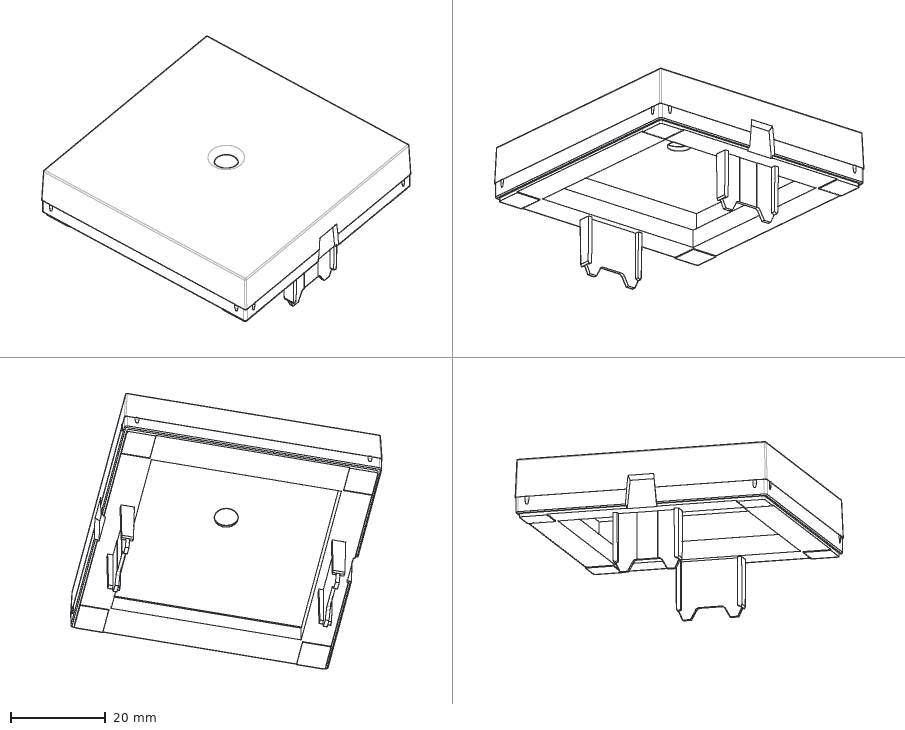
import cadquery as cq
import math

TOTAL_HEIGHT = 24.95
COVER_TOP = 12.5
SKIRT_TOP = COVER_TOP - 8.3
SKIRT_BOTTOM = COVER_TOP - 11.75
BASE_BOTTOM = 0.2
LEG_BOTTOM = COVER_TOP - TOTAL_HEIGHT

OVERALL_SIZE = 55.9
TOP_SIZE = 55.0
RIM_SIZE = 55.6
SKIRT_SIZE = 55.5
UPPER_EDGE_RADIUS = 0.3
SKIRT_CORNER_RADIUS = 0.6
SKIRT_CHAMFER = 0.25
TOP_THICKNESS = 1.5
CAVITY_SIZE = 51.0

HOLE_DIAMETER = 5.0
HOLE_EDGE_RADIUS = 1.35

BASE_SIZE = 54.2
BASE_OPENING = 41.0
BASE_CORNER_RADIUS = 0.5
FOOT_SIZE = 6.2

BUMP_RADIUS = 0.55
BUMP_TIP_RADIUS = 0.4
BUMP_OFFSET = 25.15
BUMP_STRAIGHT_HEIGHT = 0.8
BUMP_TAPER_HEIGHT = 0.85

NOTCH_TOP = COVER_TOP - 5.2
NOTCH_DEPTH = 1.05
NOTCH_TOP_HALF_WIDTH = 2.85
NOTCH_BOTTOM_HALF_WIDTH = 3.5
NOTCH_SIDE_TAPER = 0.2
NOTCH_ROOF_DROP = 1.0

WEB_X = 22.68
WEB_THICKNESS = 0.8
LEG_HALF_WIDTH = 7.25
FLANGE_THICKNESS = 0.95
FLANGE_TOP_OUTER = 24.25
FLANGE_TOP_INNER = 21.35
FLANGE_DRAFT = 0.2
FLANGE_OUTER_END = COVER_TOP - 22.55
FLANGE_TIP = COVER_TOP - 23.05
FLANGE_INNER_END = COVER_TOP - 22.75
FLANGE_TIP_INSET = 0.22
PRONG_OUTER = 6.1
PRONG_INNER = 4.35
PRONG_GAP_HALF_WIDTH = 2.95
PRONG_GAP_ROOF = COVER_TOP - 22.5
PRONG_ROOT_RADIUS = 0.8
PANEL_HALF_WIDTH = 2.3
PANEL_RECESS = 0.1


def square_block(size, bottom, top):
    """Square block centred on the Z axis."""
    return cq.Workplane("XY").workplane(offset=bottom).rect(size, size).extrude(top - bottom)


def make_cover():
    upper = (
        cq.Workplane("XY").workplane(offset=SKIRT_TOP).rect(RIM_SIZE, RIM_SIZE)
        .workplane(offset=COVER_TOP - SKIRT_TOP).rect(TOP_SIZE, TOP_SIZE)
        .loft(ruled=True)
        .edges("not(<Z)").fillet(UPPER_EDGE_RADIUS)
    )
    skirt = square_block(SKIRT_SIZE, SKIRT_BOTTOM, SKIRT_TOP)
    skirt = skirt.edges("|Z").fillet(SKIRT_CORNER_RADIUS)
    skirt = skirt.faces("<Z").edges().chamfer(SKIRT_CHAMFER)
    cavity = square_block(CAVITY_SIZE, SKIRT_BOTTOM, COVER_TOP - TOP_THICKNESS)
    return upper.union(skirt).cut(cavity)


def make_hole_cutter():
    """Through hole whose upper edge is rounded over by a quarter circle."""
    radius = HOLE_DIAMETER / 2
    mouth = radius + HOLE_EDGE_RADIUS
    arc_inset = HOLE_EDGE_RADIUS * (1 - math.sqrt(0.5))
    return (
        cq.Workplane("XZ")
        .moveTo(0, COVER_TOP - TOP_THICKNESS)
        .lineTo(radius, COVER_TOP - TOP_THICKNESS)
        .lineTo(radius, COVER_TOP - HOLE_EDGE_RADIUS)
        .threePointArc((radius + arc_inset, COVER_TOP - arc_inset), (mouth, COVER_TOP))
        .lineTo(0, COVER_TOP)
        .close()
        .revolve(360, (0, 0, 0), (0, 1, 0))
    )


def make_base():
    """Ring closing the underside of the walls, with a foot at each corner."""
    ring = square_block(BASE_SIZE, BASE_BOTTOM, SKIRT_TOP)
    foot_center = (BASE_SIZE - FOOT_SIZE) / 2
    feet = (
        cq.Workplane("XY")
        .rect(2 * foot_center, 2 * foot_center, forConstruction=True).vertices()
        .rect(FOOT_SIZE, FOOT_SIZE).extrude(SKIRT_TOP)
    )
    outline = square_block(BASE_SIZE, 0, SKIRT_TOP).edges("|Z").fillet(BASE_CORNER_RADIUS)
    opening = square_block(BASE_OPENING, 0, SKIRT_TOP)
    return ring.union(feet).intersect(outline).cut(opening)


def make_bump():
    """Upright pin with a tapered lower end, on the -Y side of the skirt."""
    straight_bottom = SKIRT_TOP - BUMP_STRAIGHT_HEIGHT
    return (
        cq.Workplane("XZ")
        .polyline([
            (0, SKIRT_TOP),
            (BUMP_RADIUS, SKIRT_TOP),
            (BUMP_RADIUS, straight_bottom),
            (BUMP_TIP_RADIUS, straight_bottom - BUMP_TAPER_HEIGHT),
            (0, straight_bottom - BUMP_TAPER_HEIGHT),
        ])
        .close()
        .revolve(360, (0, 0, 0), (0, 1, 0))
        .translate((0, BUMP_RADIUS - OVERALL_SIZE / 2, 0))
    )


def make_notch_cutter():
    """Trapezoidal recess in the -X wall, its roof and sides closing inwards."""
    def outline(inset, roof):
        top_half = NOTCH_TOP_HALF_WIDTH - inset
        bottom_half = NOTCH_BOTTOM_HALF_WIDTH - inset
        return [(-bottom_half, 0), (-top_half, roof), (top_half, roof), (bottom_half, 0)]

    return (
        cq.Workplane("YZ").workplane(offset=-RIM_SIZE / 2)
        .polyline(outline(0, NOTCH_TOP)).close()
        .workplane(offset=NOTCH_DEPTH)
        .polyline(outline(NOTCH_SIDE_TAPER, NOTCH_TOP - NOTCH_ROOF_DROP)).close()
        .loft(ruled=True)
    )


def make_web():
    """Plate of the -X leg, ending in two prongs."""
    half_outline = [
        (LEG_HALF_WIDTH, FLANGE_OUTER_END),
        (PRONG_OUTER, LEG_BOTTOM),
        (PRONG_INNER, LEG_BOTTOM),
        (PRONG_GAP_HALF_WIDTH, PRONG_GAP_ROOF),
    ]
    mirrored = [(-y, z) for y, z in reversed(half_outline)]
    outline = (
        [(LEG_HALF_WIDTH, BASE_BOTTOM)] + half_outline + mirrored + [(-LEG_HALF_WIDTH, BASE_BOTTOM)]
    )
    web = (
        cq.Workplane("YZ").workplane(offset=-WEB_X - WEB_THICKNESS / 2)
        .polyline(outline).close().extrude(WEB_THICKNESS)
    )
    reach_y = PRONG_GAP_HALF_WIDTH + PRONG_ROOT_RADIUS
    gap_corners = cq.selectors.BoxSelector(
        (-WEB_X - WEB_THICKNESS, -reach_y, PRONG_GAP_ROOF - PRONG_ROOT_RADIUS),
        (-WEB_X + WEB_THICKNESS, reach_y, PRONG_GAP_ROOF + PRONG_ROOT_RADIUS),
    )
    web = web.edges("|X").edges(gap_corners).fillet(PRONG_ROOT_RADIUS)
    panel = (
        cq.Workplane("XY")
        .box(PANEL_RECESS, 2 * PANEL_HALF_WIDTH, BASE_BOTTOM - LEG_BOTTOM, centered=(False, True, False))
        .translate((-WEB_X - WEB_THICKNESS / 2, 0, LEG_BOTTOM))
    )
    return web.cut(panel)


def make_flange():
    """Drafted flange at the +Y end of the -X leg, with a pointed lower end."""
    drafted = (
        cq.Workplane("XZ").workplane(offset=-LEG_HALF_WIDTH)
        .polyline([
            (-FLANGE_TOP_OUTER, BASE_BOTTOM),
            (-FLANGE_TOP_INNER, BASE_BOTTOM),
            (-FLANGE_TOP_INNER - FLANGE_DRAFT, FLANGE_TIP),
            (-FLANGE_TOP_OUTER + FLANGE_DRAFT, FLANGE_TIP),
        ])
        .close().extrude(FLANGE_THICKNESS)
    )
    pointed = (
        cq.Workplane("YZ").workplane(offset=-FLANGE_TOP_OUTER)
        .polyline([
            (LEG_HALF_WIDTH, BASE_BOTTOM),
            (LEG_HALF_WIDTH, FLANGE_OUTER_END),
            (LEG_HALF_WIDTH - FLANGE_TIP_INSET, FLANGE_TIP),
            (LEG_HALF_WIDTH - FLANGE_THICKNESS, FLANGE_INNER_END),
            (LEG_HALF_WIDTH - FLANGE_THICKNESS, BASE_BOTTOM),
        ])
        .close().extrude(FLANGE_TOP_OUTER - FLANGE_TOP_INNER)
    )
    return drafted.intersect(pointed)


def make_leg():
    flange = make_flange()
    return make_web().union(flange).union(flange.mirror("XZ"))


result = make_cover().union(make_base()).cut(make_hole_cutter())

notch_cutter = make_notch_cutter()
leg = make_leg()
for angle in (0, 180):
    result = result.cut(notch_cutter.rotate((0, 0, 0), (0, 0, 1), angle))
    result = result.union(leg.rotate((0, 0, 0), (0, 0, 1), angle))

bump = make_bump()
for angle in (0, 90, 180, 270):
    for side in (-1, 1):
        placed_bump = bump.translate((side * BUMP_OFFSET, 0, 0))
        result = result.union(placed_bump.rotate((0, 0, 0), (0, 0, 1), angle))